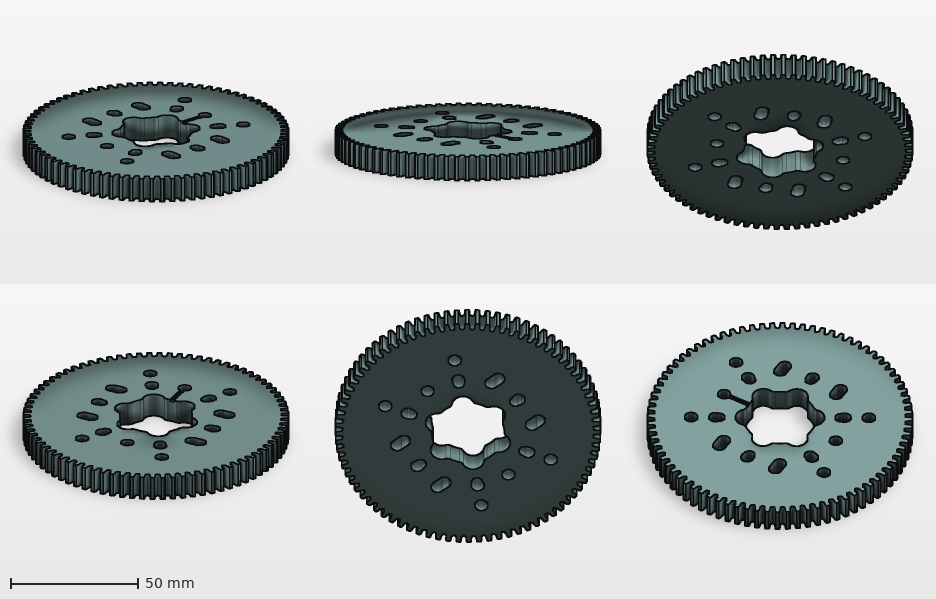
import cadquery as cq
import math

overall_width = 104.1
face_width = 9.6
tooth_count = 80
pressure_angle = math.radians(14.5)
tooth_pitch_angle = 2 * math.pi / tooth_count
tip_height_ratio = 1.0
root_depth_ratio = 1.3
root_round_height = 0.4

lobe_count = 6
pilot_diameter = 28.5
lobe_circle_radius = 13.1
lobe_diameter = 8.7
lobe_corner_radius = 2.3

screw_hole_angles = (60, 120, 240, 300)
screw_diameter = 5.1
outer_hole_circle_radius = 34.9
hole_circle_radius = 25.4
round_hole_diameter = 5.0
inner_hole_circle_radius = 23.8
oval_count = 6
oval_inner_diameter = 4.4

groove_width = 1.6
groove_depth = 0.7


def polar(radius, angle):
    """Point at the given radius and angle (radians) about the gear axis."""
    return (radius * math.cos(angle), radius * math.sin(angle))


def involute(angle):
    return math.tan(angle) - angle


def half_tooth_angle(pitch_ratio):
    """Half the angle that a tooth fills at the given fraction of the pitch radius."""
    local_pressure_angle = math.acos(min(1.0, math.cos(pressure_angle) / pitch_ratio))
    return tooth_pitch_angle / 4 + involute(pressure_angle) - involute(local_pressure_angle)


def make_gear_blank():
    """Spur gear with a tooth space centred on each axis."""
    tip_angle = half_tooth_angle(1 + 2 * tip_height_ratio / tooth_count)
    tip_radius = overall_width / 2 / math.cos(tooth_pitch_angle / 2 - tip_angle)
    module = 2 * tip_radius / (tooth_count + 2 * tip_height_ratio)
    pitch_radius = module * tooth_count / 2
    root_radius = pitch_radius - root_depth_ratio * module
    foot_radius = root_radius + root_round_height
    pitch_angle = half_tooth_angle(1)
    foot_angle = half_tooth_angle(foot_radius / pitch_radius)

    outline = cq.Workplane("XY").moveTo(*polar(tip_radius, -tooth_pitch_angle / 2 + tip_angle))
    for i in range(tooth_count):
        space = i * tooth_pitch_angle
        next_tooth = space + tooth_pitch_angle / 2
        last_tooth = space - tooth_pitch_angle / 2
        space_points = [
            polar(pitch_radius, last_tooth + pitch_angle),
            polar(foot_radius, last_tooth + foot_angle),
            polar(root_radius, space),
            polar(foot_radius, next_tooth - foot_angle),
            polar(pitch_radius, next_tooth - pitch_angle),
            polar(tip_radius, next_tooth - tip_angle),
        ]
        outline = (
            outline
            .spline(space_points, includeCurrent=True)
            .threePointArc(polar(tip_radius, next_tooth), polar(tip_radius, next_tooth + tip_angle))
        )
    return outline.close().extrude(face_width)


def cylinder_at(center, diameter):
    return cq.Workplane("XY").center(*center).circle(diameter / 2).extrude(face_width)


def make_bore():
    bore = cylinder_at((0, 0), pilot_diameter)
    for i in range(lobe_count):
        lobe_center = polar(lobe_circle_radius, 2 * math.pi * i / lobe_count)
        bore = bore.union(cylinder_at(lobe_center, lobe_diameter))
    return bore.edges("|Z").fillet(lobe_corner_radius)


def make_oval(angle):
    """Radial egg-shaped hole at the given angle (degrees), with its small end toward the axis."""
    large_radius = round_hole_diameter / 2
    small_radius = oval_inner_diameter / 2
    spacing = hole_circle_radius - inner_hole_circle_radius
    tangent = math.acos((large_radius - small_radius) / spacing)
    contact_x = large_radius * math.cos(tangent)
    contact_y = large_radius * math.sin(tangent)
    small_x = spacing + small_radius * math.cos(tangent)
    small_y = small_radius * math.sin(tangent)
    return (
        cq.Workplane("XY")
        .moveTo(contact_x, contact_y)
        .threePointArc((-large_radius, 0), (contact_x, -contact_y))
        .lineTo(small_x, -small_y)
        .threePointArc((spacing + small_radius, 0), (small_x, small_y))
        .close()
        .extrude(face_width)
        .rotate((0, 0, 0), (0, 0, 1), 180)
        .translate((hole_circle_radius, 0, 0))
        .rotate((0, 0, 0), (0, 0, 1), angle)
    )


def cut_mounting_holes(gear):
    screw_points = [polar(outer_hole_circle_radius, math.radians(a)) for a in screw_hole_angles]
    gear = gear.cut(
        cq.Workplane("XY")
        .pushPoints(screw_points)
        .circle(screw_diameter / 2)
        .extrude(face_width)
    )

    for side in (1, -1):
        gear = gear.cut(cylinder_at((0, side * hole_circle_radius), round_hole_diameter))

    slot_start, slot_y = polar(hole_circle_radius, math.pi / 6)
    slot_inner_x = slot_start - screw_diameter / 2
    slot_outer_x = hole_circle_radius + round_hole_diameter / 2
    slot_length = slot_outer_x - slot_inner_x
    gear = gear.cut(
        cq.Workplane("XY")
        .rarray(slot_inner_x + slot_outer_x, 2 * slot_y, 2, 2)
        .slot2D(slot_length, screw_diameter)
        .extrude(face_width)
    )

    for i in range(oval_count):
        gear = gear.cut(make_oval(360 * i / oval_count))
    return gear


def make_groove():
    return (
        cq.Workplane("XY", origin=(0, 0, face_width - groove_depth))
        .center(0, hole_circle_radius / 2)
        .rect(groove_width, hole_circle_radius)
        .extrude(groove_depth)
    )


gear = make_gear_blank().cut(make_bore())
gear = cut_mounting_holes(gear)
result = gear.cut(make_groove())